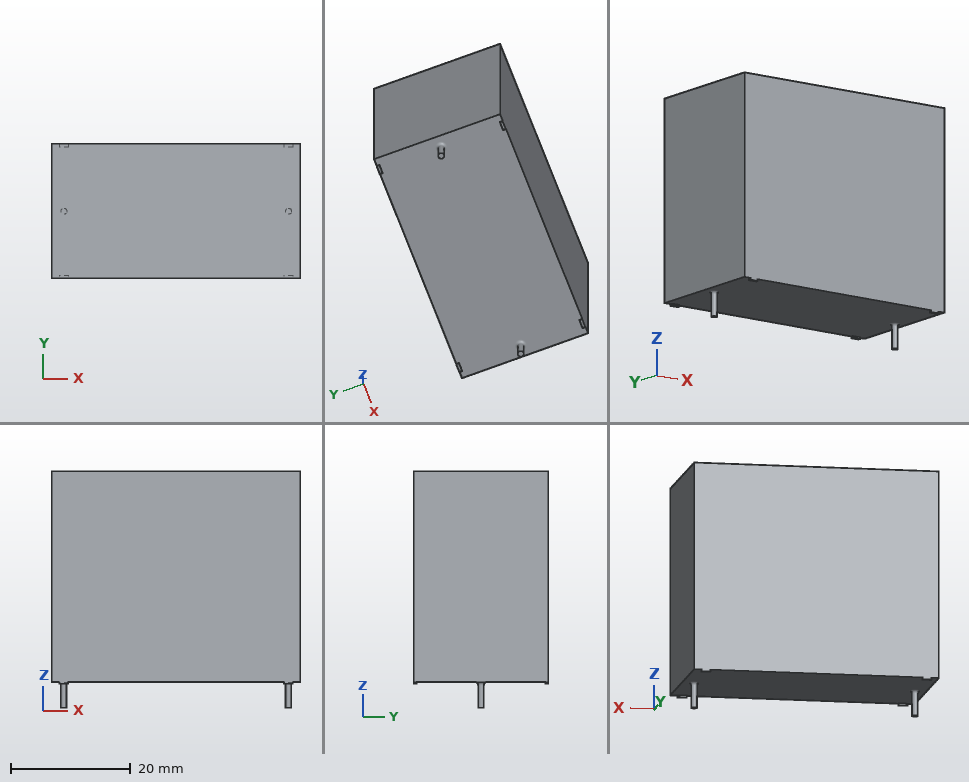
import cadquery as cq

BOX_LENGTH = 41.5
BOX_WIDTH = 22.5
TOTAL_HEIGHT = 39.5

FOOT_LENGTH = 1.5
FOOT_WIDTH = 0.5
FOOT_HEIGHT = 0.3

PIN_DIAMETER = 1.0
PIN_PITCH = 37.5
PIN_BELOW_FEET = 4.0
COLLAR_RADIUS = 0.5

PIN_REACH = FOOT_HEIGHT + PIN_BELOW_FEET
BOX_HEIGHT = TOTAL_HEIGHT - PIN_REACH


def make_box():
    return cq.Workplane("XY").box(BOX_LENGTH, BOX_WIDTH, BOX_HEIGHT, centered=(True, True, False))


def make_foot(x, side):
    """Foot hanging below the box, flush with its front (side = -1) or back (side = 1) face."""
    y = side * (BOX_WIDTH - FOOT_WIDTH) / 2
    return (
        cq.Workplane("XY")
        .center(x, y)
        .rect(FOOT_LENGTH, FOOT_WIDTH)
        .extrude(-FOOT_HEIGHT)
    )


def make_pin(x):
    """Round pin whose root flares out into the underside of the box."""
    pin_radius = PIN_DIAMETER / 2
    half_profile = (
        cq.Workplane("XZ")
        .lineTo(pin_radius + COLLAR_RADIUS, 0)
        .radiusArc((pin_radius, -COLLAR_RADIUS), -COLLAR_RADIUS)
        .lineTo(pin_radius, -PIN_REACH)
        .lineTo(0, -PIN_REACH)
        .close()
    )
    return half_profile.revolve(360, (0, 0, 0), (0, 1, 0)).translate((x, 0, 0))


result = make_box()
for pin_x in (-PIN_PITCH / 2, PIN_PITCH / 2):
    result = result.union(make_pin(pin_x))
    for foot_side in (-1, 1):
        result = result.union(make_foot(pin_x, foot_side))